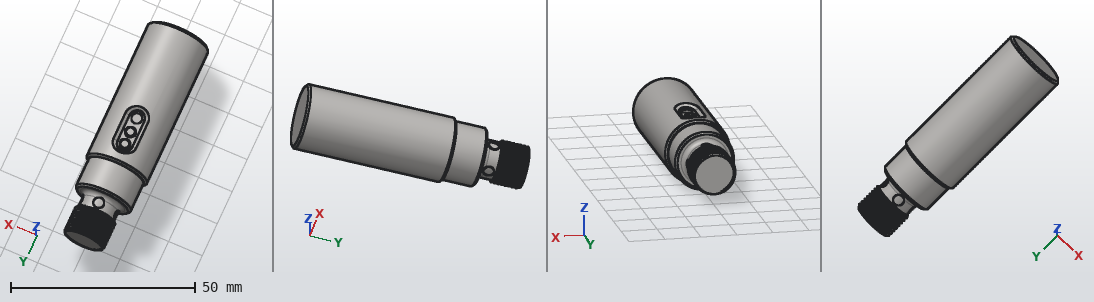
import cadquery as cq
import math

TOTAL_LENGTH = 63.5

BODY_DIAMETER = 18.0
REAR_DIAMETER = 16.4
NECK_DIAMETER = 10.55
BODY_LENGTH = 42.0
REAR_LENGTH = 9.0
EDGE_CHAMFER = 0.6
NECK_FILLET = 1.35
BODY_RADIUS = BODY_DIAMETER / 2
REAR_RADIUS = REAR_DIAMETER / 2
NECK_RADIUS = NECK_DIAMETER / 2
SHOULDER_Y = BODY_LENGTH + REAR_LENGTH

THREAD_DIAMETER = 11.8
THREAD_PITCH = 1.0
THREAD_LENGTH = 8.0
THREAD_RADIUS = THREAD_DIAMETER / 2
THREAD_ROOT_WIDTH = 0.9
THREAD_CREST_WIDTH = 0.12
THREAD_START_Y = TOTAL_LENGTH - THREAD_LENGTH
THREAD_CLEARANCE = 0.1
LEAD_IN_CHAMFER = 0.4
THREAD_OVERLAP = 0.1

GUIDE_DIAMETER = 3.0
GUIDE_Y = TOTAL_LENGTH - 10.0
GUIDE_REACH = 5.05

SLOT_RADIUS = 2.2
SLOT_CENTER_DISTANCE = 8.0
SLOT_REAR_Y = TOTAL_LENGTH - 27.45
SLOT_FRONT_Y = SLOT_REAR_Y - SLOT_CENTER_DISTANCE
SLOT_MIDDLE_Y = (SLOT_REAR_Y + SLOT_FRONT_Y) / 2
SLOT_FLOOR_Z = 7.57
RIM_BALL_RADIUS = 0.85
RIM_SECTION_STEP = 30

INSERT_DIAMETER = 3.0
INSERT_DEPTH = 2.0
LAMP_HEIGHT = 0.3
LAMP_SPACING = 3.75
LAMP_YS = [SLOT_REAR_Y, SLOT_REAR_Y - LAMP_SPACING]
BUTTON_Y = SLOT_FRONT_Y
INSERT_BASE_Z = SLOT_FLOOR_Z - INSERT_DEPTH


def y_cylinder(radius, y_start, length):
    """Cylinder about the sensor axis."""
    return cq.Workplane("XZ", origin=(0, y_start, 0)).circle(radius).extrude(-length)


def z_cylinder(diameter, y, z_start, height):
    """Upright cylinder on the plane x = 0."""
    return cq.Workplane("XY", origin=(0, y, z_start)).circle(diameter / 2).extrude(height)


def turned_housing():
    """Stepped cylinder from the front face to the end of the thread core."""
    fillet_mid = NECK_FILLET * (1 - math.sqrt(0.5))
    profile = (
        cq.Workplane("XY")
        .moveTo(0, 0)
        .lineTo(BODY_RADIUS - EDGE_CHAMFER, 0)
        .lineTo(BODY_RADIUS, EDGE_CHAMFER)
        .lineTo(BODY_RADIUS, BODY_LENGTH - EDGE_CHAMFER)
        .lineTo(BODY_RADIUS - EDGE_CHAMFER, BODY_LENGTH)
        .lineTo(REAR_RADIUS, BODY_LENGTH)
        .lineTo(REAR_RADIUS, SHOULDER_Y - EDGE_CHAMFER)
        .lineTo(REAR_RADIUS - EDGE_CHAMFER, SHOULDER_Y)
        .lineTo(NECK_RADIUS + NECK_FILLET, SHOULDER_Y)
        .threePointArc(
            (NECK_RADIUS + fillet_mid, SHOULDER_Y + fillet_mid),
            (NECK_RADIUS, SHOULDER_Y + NECK_FILLET),
        )
        .lineTo(NECK_RADIUS, TOTAL_LENGTH)
        .lineTo(0, TOTAL_LENGTH)
        .close()
    )
    return profile.revolve(360, (0, 0, 0), (0, 1, 0))


def thread_ridge():
    """Right-hand helical ridge, trimmed at both ends, with a lead-in bevel at the tip."""
    helix_length = THREAD_LENGTH + 2 * THREAD_PITCH
    helix = cq.Wire.makeHelix(THREAD_PITCH, helix_length, NECK_RADIUS)
    inner_radius = NECK_RADIUS - THREAD_OVERLAP
    ridge = (
        cq.Workplane("XZ")
        .moveTo(inner_radius, -THREAD_ROOT_WIDTH / 2)
        .lineTo(THREAD_RADIUS, -THREAD_CREST_WIDTH / 2)
        .lineTo(THREAD_RADIUS, THREAD_CREST_WIDTH / 2)
        .lineTo(inner_radius, THREAD_ROOT_WIDTH / 2)
        .close()
        .sweep(cq.Workplane(helix), isFrenet=True)
        .rotate((0, 0, 0), (1, 0, 0), -90)
        .rotate((0, 0, 0), (0, 1, 0), 90)
        .translate((0, THREAD_START_Y - THREAD_PITCH, 0))
    )
    envelope = y_cylinder(THREAD_RADIUS + THREAD_CLEARANCE, THREAD_START_Y, THREAD_LENGTH)
    envelope = envelope.faces(">Y").chamfer(LEAD_IN_CHAMFER)
    return ridge.intersect(envelope)


def bevel_section(center_y, angle):
    """Triangle of the slot bevel at an angle round a slot end.

    A ball rolls inside the material, touching the slot wall and the outer cylinder. The bevel
    runs straight between the two contact points.
    """
    cos_a = math.cos(math.radians(angle))
    sin_a = math.sin(math.radians(angle))
    ball_x = (SLOT_RADIUS + RIM_BALL_RADIUS) * cos_a
    ball_y = center_y + (SLOT_RADIUS + RIM_BALL_RADIUS) * sin_a
    ball_z = math.sqrt((BODY_RADIUS - RIM_BALL_RADIUS) ** 2 - ball_x**2)
    outward = BODY_RADIUS / (BODY_RADIUS - RIM_BALL_RADIUS)
    wall_point = cq.Vector(SLOT_RADIUS * cos_a, center_y + SLOT_RADIUS * sin_a, ball_z)
    rim_point = cq.Vector(ball_x * outward, ball_y, ball_z * outward)
    apex_radius = SLOT_RADIUS / 2
    apex_z = BODY_RADIUS + SLOT_RADIUS
    apex = cq.Vector(apex_radius * cos_a, center_y + apex_radius * sin_a, apex_z)
    return cq.Wire.makePolygon([wall_point, rim_point, apex], close=True)


def panel_slot():
    """Cutter for the round-ended slot with its bevelled rim."""
    slot = (
        cq.Workplane("XY", origin=(0, SLOT_MIDDLE_Y, SLOT_FLOOR_Z))
        .slot2D(SLOT_CENTER_DISTANCE + 2 * SLOT_RADIUS, 2 * SLOT_RADIUS, 90)
        .extrude(BODY_RADIUS)
    )
    for center_y, first_angle in ((SLOT_REAR_Y, 0), (SLOT_FRONT_Y, 180)):
        angles = range(first_angle, first_angle + 181, RIM_SECTION_STEP)
        sections = [bevel_section(center_y, angle) for angle in angles]
        slot = slot.union(cq.Workplane(cq.Solid.makeLoft(sections)))
    for angle in (0, 180):
        ends = [bevel_section(y, angle) for y in (SLOT_FRONT_Y, SLOT_REAR_Y)]
        slot = slot.union(cq.Workplane(cq.Solid.makeLoft(ends, True)))
    return slot


def neck_cross():
    """Two crossed cylinders, along X and Z, reaching past the neck surface."""
    along_z = z_cylinder(GUIDE_DIAMETER, GUIDE_Y, -THREAD_RADIUS, THREAD_DIAMETER)
    return along_z.union(along_z.rotate((0, 0, 0), (0, 1, 0), 90))


def build_light_guide():
    """Four-armed light guide ending just below the neck surface."""
    return neck_cross().intersect(y_cylinder(GUIDE_REACH, 0, TOTAL_LENGTH))


def build_lamp(y):
    """Indicator lamp standing a little above the slot floor, with a bevelled edge."""
    lamp = z_cylinder(INSERT_DIAMETER, y, INSERT_BASE_Z, INSERT_DEPTH + LAMP_HEIGHT)
    return lamp.faces(">Z").chamfer(LAMP_HEIGHT)


def build_button():
    """Push button flush with the slot floor."""
    return z_cylinder(INSERT_DIAMETER, BUTTON_Y, INSERT_BASE_Z, INSERT_DEPTH)


def build_housing():
    """Housing with thread, panel slot and the seats of the other bodies."""
    housing = turned_housing().union(thread_ridge())
    housing = housing.cut(panel_slot()).cut(neck_cross())
    for y in (*LAMP_YS, BUTTON_Y):
        housing = housing.cut(z_cylinder(INSERT_DIAMETER, y, INSERT_BASE_Z, BODY_RADIUS))
    return housing


housing = build_housing()
light_guide = build_light_guide()
lamps = [build_lamp(y) for y in LAMP_YS]
button = build_button()

result = cq.Compound.makeCompound(
    [housing.val(), light_guide.val(), *[lamp.val() for lamp in lamps], button.val()]
)